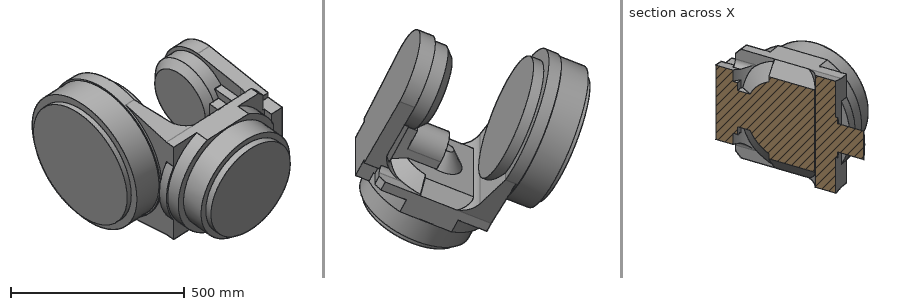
import cadquery as cq
import math


WALL_X = 245.0
FLANGE_X = 275.0
HOUSING_X = 319.0
CAP_X = 392.5
END_X = 414.5
WALL_RADIUS = 203.0
FLANGE_RADIUS = 197.5
HOUSING_RADIUS = 176.5
CAP_RADIUS = 158.0
HALF_HEIGHT = 180.0
WALL_BACK_Y = 182.0
WALL_CHAMFER = 19.0

PAD_X = 211.0
PAD_HALF_HEIGHT = 132.0
PAD_RADIUS = 125.0
PAD_BASE_RADIUS = 180.0
PAD_SIDE_Y = 51.0
PAD_FRONT_Y = -102.5
NOSE_X = 165.5
NOSE_TIP_RADIUS = 18.5
NOSE_RADIUS = 65.0

ARM_FRONT_Y = -174.0
ARM_INNER_Y = -141.0
ARM_START_X = 74.0
DISC_RADIUS = 225.0
INNER_DISC_RADIUS = 189.0
DRUM_RADIUS = 220.0
COVER_RADIUS = 196.5
INNER_DISC_Y = -108.0
DISC_FRONT_Y = -180.5
DRUM_FRONT_Y = -268.0
COVER_FRONT_Y = -284.5

BACK_Y = 230.0
BACK_RADIUS = 142.0
BACK_END_HALF_HEIGHT = 121.0
BACK_FILLET_X = 179.0
BLEND_RADIUS = 21.0
TAB_END_X = 304.5
TAB_HALF_HEIGHT = 103.5
TAB_FRONT_Y = 187.0
BACK_DISC_RADIUS = 130.0
BACK_DISC_FACE_RADIUS = 106.0
BACK_DISC_EDGE_Y = 136.0
BACK_DISC_FACE_Y = 112.0

STEP_START_X = 98.5
STEP_Y = 156.0
STEP_HALF_HEIGHT = 86.5
RIB_START_X = 115.0
RIB_Y = 120.0
POST_X = 183.5
POST_RADIUS = 61.0
POST_FRONT_Y = 15.0


def box(x_range, y_range, half_height):
    """Box spanning two ranges, symmetric about Z = 0."""
    size_x = x_range[1] - x_range[0]
    size_y = y_range[1] - y_range[0]
    solid = cq.Workplane("XY").box(size_x, size_y, 2 * half_height, centered=(False, False, True))
    return solid.translate((x_range[0], y_range[0], 0))


def turned_about_x(profile):
    """Revolve (X, radius) points about the X axis."""
    points = [(profile[0][0], 0)] + profile + [(profile[-1][0], 0)]
    return cq.Workplane("XY").polyline(points).close().revolve(360, (0, 0), (1, 0))


def turned_about_y(profile):
    """Revolve (radius, Y) points about the Y axis."""
    points = [(0, profile[0][1])] + profile + [(0, profile[-1][1])]
    return cq.Workplane("XY").polyline(points).close().revolve(360, (0, 0), (0, 1))


def wall_and_flange():
    """Flat-sided wall with stepped round housing behind it."""
    discs = turned_about_x([
        (WALL_X, WALL_RADIUS),
        (FLANGE_X, WALL_RADIUS),
        (FLANGE_X, FLANGE_RADIUS),
        (HOUSING_X, FLANGE_RADIUS),
    ])
    wall = box((WALL_X, FLANGE_X), (ARM_FRONT_Y, WALL_BACK_Y), HALF_HEIGHT)
    wall = wall.faces(">Y").edges("|X").chamfer(WALL_CHAMFER)
    limits = box((WALL_X, HOUSING_X), (-WALL_RADIUS, WALL_BACK_Y), HALF_HEIGHT)
    housing = turned_about_x([
        (HOUSING_X, HOUSING_RADIUS),
        (CAP_X, HOUSING_RADIUS),
        (CAP_X, CAP_RADIUS),
        (END_X, CAP_RADIUS),
    ])
    return discs.intersect(limits).union(wall).union(housing)


def wall_pad():
    """Raised pad with sloping sides, a conical back end and a central nose."""
    cone = turned_about_x([(PAD_X, PAD_RADIUS), (WALL_X, PAD_BASE_RADIUS)])
    cone = cone.intersect(box((PAD_X, WALL_X), (PAD_SIDE_Y, WALL_BACK_Y), HALF_HEIGHT))
    section = [
        (PAD_X, -PAD_HALF_HEIGHT),
        (PAD_X, PAD_HALF_HEIGHT),
        (WALL_X, HALF_HEIGHT),
        (WALL_X, -HALF_HEIGHT),
    ]
    wedge = cq.Workplane("XZ", origin=(0, PAD_SIDE_Y, 0)).polyline(section).close()
    wedge = wedge.extrude(PAD_SIDE_Y - PAD_FRONT_Y)
    nose = turned_about_x([(NOSE_X, NOSE_TIP_RADIUS), (PAD_X, NOSE_RADIUS)])
    return cone.union(wedge).union(nose)


def front_arm():
    """Arm that tapers from the large disc to the wall and thickens towards it."""
    start_z = math.sqrt(DISC_RADIUS**2 - ARM_START_X**2)
    outline = (
        cq.Workplane("XZ")
        .moveTo(ARM_START_X, -start_z)
        .lineTo(WALL_X, -HALF_HEIGHT)
        .lineTo(WALL_X, HALF_HEIGHT)
        .lineTo(ARM_START_X, start_z)
        .close()
        .extrude(-ARM_FRONT_Y)
    )
    slope_end = (192.0, -114.0)
    curve_middle = (220.5, -100.0)
    curve_end = (WALL_X, -64.0)
    thickness = (
        cq.Workplane("XY", origin=(0, 0, -DISC_RADIUS))
        .moveTo(ARM_START_X, ARM_FRONT_Y)
        .lineTo(ARM_START_X, ARM_INNER_Y)
        .lineTo(*slope_end)
        .threePointArc(curve_middle, curve_end)
        .lineTo(WALL_X, ARM_FRONT_Y)
        .close()
        .extrude(2 * DISC_RADIUS)
    )
    return outline.intersect(thickness)


def large_bearing():
    return turned_about_y([
        (COVER_RADIUS, COVER_FRONT_Y),
        (COVER_RADIUS, DRUM_FRONT_Y),
        (DRUM_RADIUS, DRUM_FRONT_Y),
        (DRUM_RADIUS, DISC_FRONT_Y),
        (DISC_RADIUS, DISC_FRONT_Y),
        (DISC_RADIUS, ARM_INNER_Y),
        (INNER_DISC_RADIUS, ARM_INNER_Y),
        (INNER_DISC_RADIUS, INNER_DISC_Y),
    ])


def corner_blend():
    """Concave fillets that carry both sides of the back arm corner up to the wall."""
    start_x = WALL_X - BLEND_RADIUS
    top_z = BACK_END_HALF_HEIGHT + BLEND_RADIUS
    diagonal = BLEND_RADIUS * math.sin(math.pi / 4)
    blend = (
        cq.Workplane("XZ", origin=(0, WALL_BACK_Y, 0))
        .moveTo(start_x, 0)
        .lineTo(start_x, BACK_END_HALF_HEIGHT)
        .threePointArc((start_x + diagonal, top_z - diagonal), (WALL_X, top_z))
        .lineTo(WALL_X, 0)
        .close()
        .extrude(WALL_BACK_Y)
    )
    return blend.union(blend.mirror("XY"))


def back_arm():
    """Round-ended back plate, curved into the wall, with a narrower end tab."""
    sides = [
        (0, -BACK_RADIUS),
        (0, BACK_RADIUS),
        (WALL_X, BACK_END_HALF_HEIGHT),
        (WALL_X, -BACK_END_HALF_HEIGHT),
    ]
    taper = cq.Workplane("XZ", origin=(0, BACK_Y, 0)).polyline(sides).close().extrude(BACK_Y)
    plate = taper.intersect(box((0, WALL_X), (WALL_BACK_Y, BACK_Y), BACK_RADIUS))
    round_end = turned_about_y([(BACK_RADIUS, WALL_BACK_Y), (BACK_RADIUS, BACK_Y)])
    round_end = round_end.intersect(box((-BACK_RADIUS, 0), (WALL_BACK_Y, BACK_Y), BACK_RADIUS))
    tab = box((WALL_X, TAB_END_X), (TAB_FRONT_Y, BACK_Y), TAB_HALF_HEIGHT)
    tab_root = box((WALL_X, FLANGE_X), (WALL_BACK_Y, TAB_FRONT_Y), TAB_HALF_HEIGHT)
    curve_radius = WALL_X - BACK_FILLET_X
    curve_middle = (
        BACK_FILLET_X + curve_radius * math.sin(math.pi / 4),
        WALL_BACK_Y - curve_radius * (1 - math.cos(math.pi / 4)),
    )
    corner = (
        cq.Workplane("XY", origin=(0, 0, -HALF_HEIGHT))
        .moveTo(BACK_FILLET_X, WALL_BACK_Y)
        .threePointArc(curve_middle, (WALL_X, WALL_BACK_Y - curve_radius))
        .lineTo(WALL_X, WALL_BACK_Y)
        .close()
        .extrude(2 * HALF_HEIGHT)
    )
    corner = corner.intersect(taper.union(corner_blend()))
    return plate.union(round_end).union(tab).union(tab_root).union(corner)


def small_bearing():
    return turned_about_y([
        (BACK_DISC_FACE_RADIUS, BACK_DISC_FACE_Y),
        (BACK_DISC_RADIUS, BACK_DISC_EDGE_Y),
        (BACK_DISC_RADIUS, WALL_BACK_Y),
    ])


def ribs_and_post():
    """Stepped rib along the back arm and a round-nosed post joining the wall pad."""
    step = box((STEP_START_X, WALL_X), (STEP_Y, WALL_BACK_Y), STEP_HALF_HEIGHT)
    rib = box((RIB_START_X, WALL_X), (RIB_Y, STEP_Y), POST_RADIUS)
    post = box((POST_X, WALL_X), (POST_FRONT_Y, STEP_Y), POST_RADIUS)
    post_nose = (
        cq.Workplane("XZ", origin=(POST_X, STEP_Y, 0))
        .circle(POST_RADIUS)
        .extrude(STEP_Y - POST_FRONT_Y)
    )
    return step.union(rib).union(post).union(post_nose)


result = wall_and_flange()
for feature in (wall_pad, front_arm, large_bearing, back_arm, small_bearing, ribs_and_post):
    result = result.union(feature())